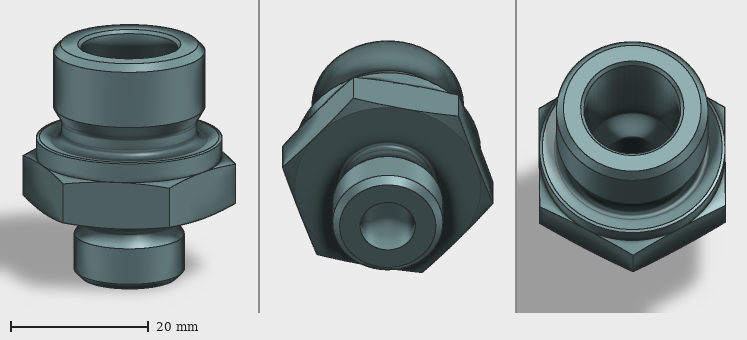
import cadquery as cq
import math

total_height = 35.0
hex_bottom = 11.0
hex_top = 18.02
collar_top = 20.85

across_flats = 27.0
hex_chamfer_angle = 15.0
rim_diameter = 26.1
rim_height = 0.1
seal_diameter = 22.6
seal_angle = 10.0

lower_diameter = 16.0
lower_neck_diameter = 13.7
lower_cone_start = 6.37
lower_neck_fillet = 0.88

upper_diameter = 22.0
upper_neck_diameter = 19.7
upper_cone_start = 25.62

end_chamfer = 1.0
runout_angle = 30.0
runout_fillet = 1.0

through_diameter = 8.0
bore_diameter = 14.0
bore_depth = 17.5
mouth_chamfer = 0.5
drill_point_angle = 118.0


def runout_height(diameter, neck_diameter):
    return (diameter - neck_diameter) / 2 / math.tan(math.radians(runout_angle))


def revolve(profile):
    return profile.close().revolve(360, (0, 0, 0), (0, 1, 0))


def runout_edge(body, neck_diameter, height):
    """Round the edge where a runout cone meets its neck."""
    reach = neck_diameter / 2 + 0.05
    margin = 0.05
    box = cq.selectors.BoxSelector(
        (-reach, -reach, height - margin), (reach, reach, height + margin)
    )
    return body.edges(box).edges("%CIRCLE").fillet(runout_fillet)


def lower_end():
    radius = lower_diameter / 2
    neck = lower_neck_diameter / 2
    cone_end = lower_cone_start + runout_height(lower_diameter, lower_neck_diameter)
    fillet_rise = lower_neck_fillet * math.sin(math.radians(45))
    body = revolve(
        cq.Workplane("XZ")
        .lineTo(radius - end_chamfer, 0)
        .lineTo(radius, end_chamfer)
        .lineTo(radius, lower_cone_start)
        .lineTo(neck, cone_end)
        .lineTo(neck, hex_bottom - lower_neck_fillet)
        .threePointArc(
            (neck + lower_neck_fillet - fillet_rise, hex_bottom - lower_neck_fillet + fillet_rise),
            (neck + lower_neck_fillet, hex_bottom),
        )
        .lineTo(0, hex_bottom)
    )
    return runout_edge(body, lower_neck_diameter, cone_end)


def hexagon():
    height = hex_top - hex_bottom
    corner = across_flats / 2 / math.cos(math.radians(30))
    chamfer_drop = (corner - across_flats / 2) * math.tan(math.radians(hex_chamfer_angle))
    prism = (
        cq.Workplane("XY", origin=(0, 0, hex_bottom))
        .polygon(6, 2 * corner)
        .extrude(height)
        .rotate((0, 0, 0), (0, 0, 1), 30)
    )
    chamfer_envelope = revolve(
        cq.Workplane("XZ", origin=(0, 0, hex_bottom))
        .lineTo(across_flats / 2, 0)
        .lineTo(corner, chamfer_drop)
        .lineTo(corner, height - chamfer_drop)
        .lineTo(across_flats / 2, height)
        .lineTo(0, height)
    )
    return prism.intersect(chamfer_envelope)


def collar_and_upper_end():
    radius = upper_diameter / 2
    neck = upper_neck_diameter / 2
    slope = math.radians(seal_angle)
    rim_top = collar_top + rim_height
    seal_bottom = rim_top - (rim_diameter - seal_diameter) / 2 * math.tan(slope)
    fillet = (seal_diameter / 2 - neck) / (1 + math.sin(slope))
    fillet_rise = fillet * math.sin(math.radians(45))
    fillet_top = seal_bottom + fillet * math.cos(slope)
    cone_end = upper_cone_start - runout_height(upper_diameter, upper_neck_diameter)
    body = revolve(
        cq.Workplane("XZ")
        .moveTo(0, hex_top)
        .lineTo(across_flats / 2, hex_top)
        .lineTo(across_flats / 2, collar_top)
        .lineTo(rim_diameter / 2, rim_top)
        .lineTo(seal_diameter / 2, seal_bottom)
        .threePointArc(
            (neck + fillet - fillet_rise, fillet_top - fillet_rise),
            (neck, fillet_top),
        )
        .lineTo(neck, cone_end)
        .lineTo(radius, upper_cone_start)
        .lineTo(radius, total_height - end_chamfer)
        .lineTo(radius - end_chamfer, total_height)
        .lineTo(0, total_height)
    )
    return runout_edge(body, upper_neck_diameter, cone_end)


def bore():
    radius = bore_diameter / 2
    through_radius = through_diameter / 2
    bore_bottom = total_height - bore_depth
    half_point = math.radians(drill_point_angle / 2)
    point_bottom = bore_bottom - (radius - through_radius) / math.tan(half_point)
    return revolve(
        cq.Workplane("XZ")
        .lineTo(through_radius, 0)
        .lineTo(through_radius, point_bottom)
        .lineTo(radius, bore_bottom)
        .lineTo(radius, total_height - mouth_chamfer)
        .lineTo(radius + mouth_chamfer, total_height)
        .lineTo(0, total_height)
    )


result = lower_end().union(hexagon()).union(collar_and_upper_end()).cut(bore())